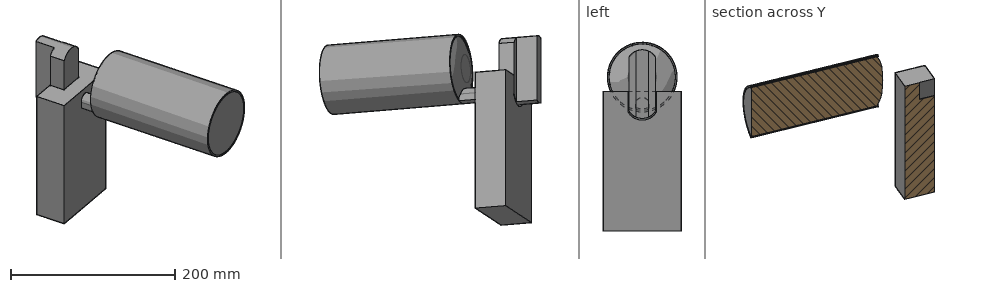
import cadquery as cq
import math

TOTAL_LENGTH = 268.7
TOTAL_HEIGHT = 230.0

BLOCK_X = 26.3
BLOCK_THICKNESS = 39.5
BLOCK_WIDTH = 95.0
BLOCK_HEIGHT = 170.0
SLOT_DEPTH = 20.0
SLOT_WIDTH = 34.5
SLOT_BOTTOM = 135.2
SLOT_CROWN = 10.0

KEY_WIDTH = 32.8
KEY_BOTTOM = 137.3
KEY_HEIGHT = 83.5
KEY_CROWN = 9.5
STEM_WIDTH = 15.5

SLEEVE_DIAMETER = 85.0
SLEEVE_X = 100.5
CORE_DIAMETER = 80.5
CORE_FLAT_DIAMETER = 34.5
CORE_EDGE_RADIUS = 40.3
DOME_PROJECTION = 6.0

ROD_DIAMETER = 17.0
ROD_AXIS_Z = 154.2

BLOCK_BACK_X = BLOCK_X + BLOCK_THICKNESS
SLEEVE_LENGTH = TOTAL_LENGTH - SLEEVE_X
SLEEVE_AXIS_Z = TOTAL_HEIGHT - SLEEVE_DIAMETER / 2
SLEEVE_BOTTOM = TOTAL_HEIGHT - SLEEVE_DIAMETER
DOME_X = SLEEVE_X - DOME_PROJECTION


def box_between(x_start, x_end, width, z_start, z_end):
    """Box centred on Y = 0."""
    return cq.Workplane("XY").box(
        x_end - x_start, width, z_end - z_start, centered=(False, True, False)
    ).translate((x_start, 0, z_start))


def x_cylinder(x_start, length, diameter, axis_z):
    """Cylinder along +X in the plane Y = 0."""
    return (
        cq.Workplane("YZ", origin=(x_start, 0, axis_z))
        .circle(diameter / 2)
        .extrude(length)
    )


def make_block():
    block = box_between(BLOCK_X, BLOCK_BACK_X, BLOCK_WIDTH, 0, BLOCK_HEIGHT)
    half_width = SLOT_WIDTH / 2
    slot = (
        cq.Workplane("YZ", origin=(BLOCK_X, 0, 0))
        .moveTo(half_width, BLOCK_HEIGHT)
        .lineTo(-half_width, BLOCK_HEIGHT)
        .lineTo(-half_width, SLOT_BOTTOM + SLOT_CROWN)
        .threePointArc((0, SLOT_BOTTOM), (half_width, SLOT_BOTTOM + SLOT_CROWN))
        .close()
        .extrude(SLOT_DEPTH)
    )
    return block.cut(slot)


def make_key():
    half_width = KEY_WIDTH / 2
    key_top = KEY_BOTTOM + KEY_HEIGHT
    lower_shoulder = KEY_BOTTOM + KEY_CROWN
    upper_shoulder = key_top - KEY_CROWN
    key = (
        cq.Workplane("YZ")
        .moveTo(-half_width, lower_shoulder)
        .threePointArc((0, KEY_BOTTOM), (half_width, lower_shoulder))
        .lineTo(half_width, upper_shoulder)
        .threePointArc((0, key_top), (-half_width, upper_shoulder))
        .close()
        .extrude(BLOCK_X + SLOT_DEPTH)
    )
    stem_zone = box_between(0, BLOCK_X, STEM_WIDTH, KEY_BOTTOM, key_top)
    slot_zone = box_between(BLOCK_X, BLOCK_X + SLOT_DEPTH, KEY_WIDTH, KEY_BOTTOM, key_top)
    return key.intersect(stem_zone.union(slot_zone))


def make_sleeve():
    outside = x_cylinder(SLEEVE_X, SLEEVE_LENGTH, SLEEVE_DIAMETER, SLEEVE_AXIS_Z)
    bore = x_cylinder(SLEEVE_X, SLEEVE_LENGTH, CORE_DIAMETER, SLEEVE_AXIS_Z)
    return outside.cut(bore)


def make_core():
    """Revolved core: flat nose, then an arc tangent to it out to the side wall."""
    flat_radius = CORE_FLAT_DIAMETER / 2
    core_radius = CORE_DIAMETER / 2
    sweep = math.asin((core_radius - flat_radius) / CORE_EDGE_RADIUS)

    def arc_point(angle):
        return (
            DOME_X + CORE_EDGE_RADIUS * (1 - math.cos(angle)),
            flat_radius + CORE_EDGE_RADIUS * math.sin(angle),
        )

    return (
        cq.Workplane("XZ", origin=(0, 0, SLEEVE_AXIS_Z))
        .moveTo(DOME_X, 0)
        .lineTo(DOME_X, flat_radius)
        .threePointArc(arc_point(sweep / 2), arc_point(sweep))
        .lineTo(TOTAL_LENGTH, core_radius)
        .lineTo(TOTAL_LENGTH, 0)
        .close()
        .revolve(360, (0, 0, 0), (1, 0, 0))
    )


def make_rod(core):
    """Round-topped, flat-sided rod whose underside follows the sleeve and whose end fits the dome."""
    length = SLEEVE_X - BLOCK_BACK_X
    round_top = x_cylinder(BLOCK_BACK_X, length, ROD_DIAMETER, ROD_AXIS_Z)
    lower_half = box_between(BLOCK_BACK_X, SLEEVE_X, ROD_DIAMETER, SLEEVE_BOTTOM, ROD_AXIS_Z)
    sleeve_outline = x_cylinder(BLOCK_BACK_X, length, SLEEVE_DIAMETER, SLEEVE_AXIS_Z)
    return round_top.union(lower_half).intersect(sleeve_outline).cut(core)


block = make_block()
key = make_key()
sleeve = make_sleeve()
core = make_core()
rod = make_rod(core)

bodies = [block, key, sleeve, core, rod]
result = cq.Compound.makeCompound([body.solids().val() for body in bodies])